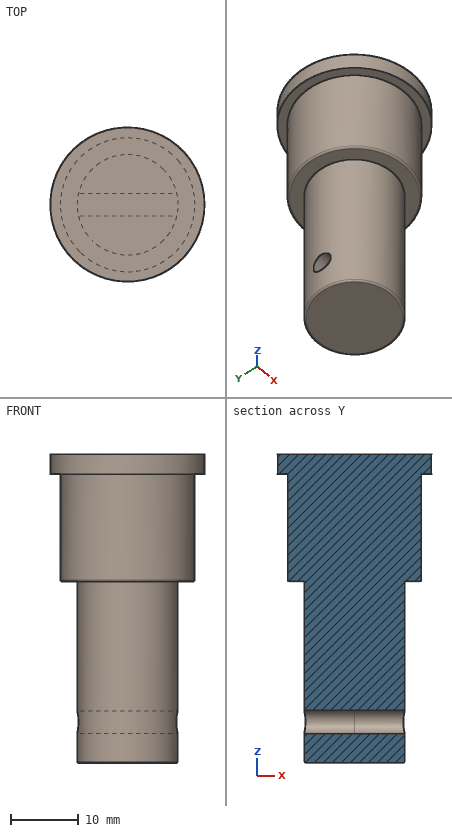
import cadquery as cq

total_height = 46.0

head_diameter = 23.0
head_height = 3.0

shoulder_diameter = 20.0
shoulder_height = 16.0

shank_diameter = 15.0
shank_height = total_height - head_height - shoulder_height

edge_fillet = 0.3

cross_hole_diameter = 3.4
cross_hole_axis_height = 6.1


def cylinder(diameter, height, base_height):
    return cq.Workplane("XY").workplane(offset=base_height).circle(diameter / 2).extrude(height)


def rounded_cylinder(diameter, height, base_height):
    """Cylinder with its lower rim rounded."""
    return cylinder(diameter, height, base_height).faces("<Z").edges().fillet(edge_fillet)


def cross_hole():
    """Cutter along X, passing through the whole shank."""
    return (
        cq.Workplane("YZ")
        .center(0, cross_hole_axis_height)
        .circle(cross_hole_diameter / 2)
        .extrude(shank_diameter, both=True)
    )


shank = rounded_cylinder(shank_diameter, shank_height, 0)
shoulder = rounded_cylinder(shoulder_diameter, shoulder_height, shank_height)
head = cylinder(head_diameter, head_height, shank_height + shoulder_height)

result = shank.union(shoulder).union(head).cut(cross_hole())